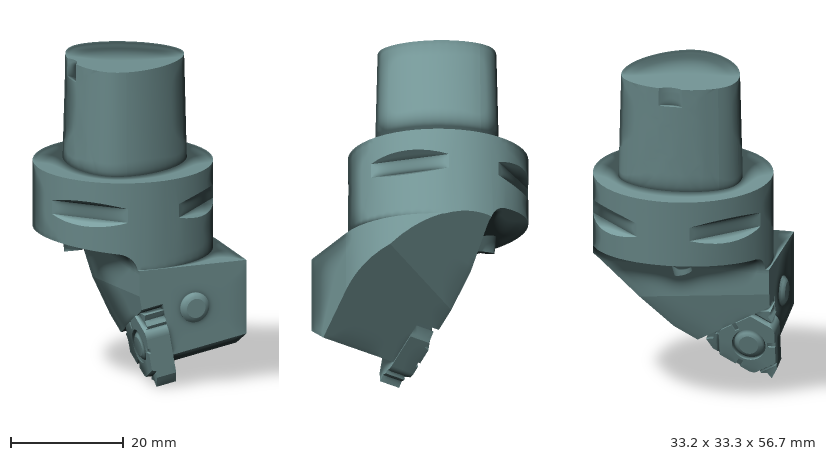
import cadquery as cq
import math

SHANK_LENGTH = 19.0
SHANK_DIAMETER = 22.0
LOBE_HEIGHT = 0.7
DIAMETER_TAPER = 1 / 20
LOBE_HALF_ANGLE = 22.5
LOBE_ANGLES = (90, 210, 330)
LOBE_PERIOD = 360 / len(LOBE_ANGLES)
POINTS_PER_EDGE = 9
KEY_NOTCH_RADIUS = 3.25
KEY_NOTCH_REACH = -8.9
KEY_NOTCH_DEPTH = 3.25

FLANGE_RADIUS = 16.0
FLANGE_HEIGHT = 16.0
NOTCH_FLAT_DISTANCE = 14.2
NOTCH_CENTRE_Z = -6.0
NOTCH_FLAT_HEIGHT = 2.5
NOTCH_SIDE_ANGLE = 30
NOTCH_ANGLES = (45, 135, 225, 315)

HEAD_BACK_Y = 17.3
HEAD_RADIUS = HEAD_BACK_Y
HEAD_CENTRE_X = HEAD_RADIUS - FLANGE_RADIUS
FRONT_WALL_Y = -3.06
CEILING_EDGE_Z = -11.98
CEILING_ANGLE = 6.4
CEILING_FILLET = 3.7
LEFT_CUT_Z = -15.1
LEFT_CUT_ANGLE = 42.1
BEYOND = 45.0

INSERT_CENTRE = (12.3, -1.32, -30.93)
SEAT_TILT = 10
SEAT_YAW = 1
SEAT = cq.Plane.named("XZ", origin=INSERT_CENTRE).rotated((SEAT_TILT, SEAT_YAW, 0))
SIDE_FACE_DISTANCE = 4.1
FLANK_DISTANCE = 4.54
SEAT_TIP_X = -0.9
HALF_CORNER = 30

INSERT_THICKNESS = 4.4
INSCRIBED_RADIUS = 9.525 / 2
INSERT_RISE = 0.3
INSERT_FACE = cq.Plane(SEAT.toWorldCoords((0, 0, INSERT_RISE)), SEAT.xDir, SEAT.zDir)
POCKET_DEPTH = INSERT_THICKNESS - INSERT_RISE
CORNER_DISTANCE = 5.45
CORNER_ROUND = 2.0
TOOTH_POINTS = [
    (INSCRIBED_RADIUS, -3.0),
    (INSCRIBED_RADIUS, -4.95),
    (3.75, -6.91),
    (3.0, -5.9),
    (1.86, -5.99),
    (1.2, -5.0),
]
TURNS = (0, 120, 240)
GROOVE_EDGE = 5.3
GROOVE_BOTTOM = 5.65
GROOVE_BOTTOM_DEPTH = 0.85
TOOTH_EDGE = 5.95
TOOTH_RECESS = 0.65
MARK_LENGTH = 1.3
MARK_WIDTH = 0.9
MARK_OFFSET = 0.25
MARK_DEPTH = 0.4

BORE_DIAMETER = 4.4
COUNTERBORE_DIAMETER = 6.1
COUNTERBORE_DEPTH = 1.0
SCREW_HEAD_DIAMETER = 5.45
SIDE_SCREW_RISE = 0.95
SCREW_TOP_DIAMETER = 3.5
SCREW_RIM_HEIGHT = 0.7
SCREW_RIM_BULGE = 0.1
INSERT_SCREW_RISE = 0.15
SHAFT_LENGTH = INSERT_THICKNESS - COUNTERBORE_DEPTH
SIDE_SCREW_HEIGHT = 5.65
SIDE_SCREW_DEPTH = 9.75
NOZZLE_DIAMETER = 3.3
NOZZLE_END = (2.48, -10.3, -15.1)
NOZZLE_ANGLE = 15.7
NOZZLE_LENGTH = 6.0


def trilobe_point(radius, angle, lobe_angle, z):
    """Point of the trilobe outline whose normal lies at `angle` from the lobe."""
    turn = math.radians(angle)
    support = radius + LOBE_HEIGHT * math.cos(3 * turn)
    shift = -3 * LOBE_HEIGHT * math.sin(3 * turn)
    direction = math.radians(angle + lobe_angle)
    x = support * math.cos(direction) - shift * math.sin(direction)
    y = support * math.sin(direction) + shift * math.cos(direction)
    return cq.Vector(x, y, z)


def trilobe_edge(radius, first, last, lobe_angle, z):
    step = (last - first) / (POINTS_PER_EDGE - 1)
    angles = [first + i * step for i in range(POINTS_PER_EDGE)]
    return cq.Edge.makeSpline([trilobe_point(radius, angle, lobe_angle, z) for angle in angles])


def trilobe_wire(radius, z):
    edges = []
    for lobe_angle in LOBE_ANGLES:
        edges.append(trilobe_edge(radius, -LOBE_HALF_ANGLE, LOBE_HALF_ANGLE, lobe_angle, z))
        flank_end = LOBE_PERIOD - LOBE_HALF_ANGLE
        edges.append(trilobe_edge(radius, LOBE_HALF_ANGLE, flank_end, lobe_angle, z))
    return cq.Wire.assembleEdges(edges)


def make_shank():
    base_radius = SHANK_DIAMETER / 2
    top_radius = base_radius - SHANK_LENGTH * DIAMETER_TAPER / 2
    wires = [trilobe_wire(base_radius, 0), trilobe_wire(top_radius, SHANK_LENGTH)]
    shank = cq.Workplane(cq.Solid.makeLoft(wires, True))
    notch = (
        cq.Workplane(origin=(0, KEY_NOTCH_REACH - KEY_NOTCH_RADIUS, SHANK_LENGTH))
        .circle(KEY_NOTCH_RADIUS)
        .extrude(-KEY_NOTCH_DEPTH)
    )
    return shank.cut(notch)


def make_flange():
    flange = cq.Workplane().circle(FLANGE_RADIUS).extrude(-FLANGE_HEIGHT)
    depth = FLANGE_RADIUS - NOTCH_FLAT_DISTANCE
    floor_half = NOTCH_FLAT_HEIGHT / 2
    mouth_half = floor_half + depth * math.tan(math.radians(NOTCH_SIDE_ANGLE))
    notch = (
        cq.Workplane("XZ")
        .moveTo(NOTCH_FLAT_DISTANCE, NOTCH_CENTRE_Z - floor_half)
        .lineTo(FLANGE_RADIUS, NOTCH_CENTRE_Z - mouth_half)
        .lineTo(FLANGE_RADIUS, NOTCH_CENTRE_Z + mouth_half)
        .lineTo(NOTCH_FLAT_DISTANCE, NOTCH_CENTRE_Z + floor_half)
        .close()
        .extrude(FLANGE_RADIUS, both=True)
    )
    for angle in NOTCH_ANGLES:
        flange = flange.cut(notch.rotate((0, 0, 0), (0, 0, 1), angle))
    return flange


def flank_y(x):
    """Local height of the lower left flank of the head, which is parallel to an insert side."""
    return -(FLANK_DISTANCE + x / 2) / math.cos(math.radians(HALF_CORNER))


def make_head():
    column = (
        cq.Workplane(origin=(0, 0, -FLANGE_HEIGHT))
        .moveTo(HEAD_CENTRE_X, HEAD_BACK_Y)
        .threePointArc((-FLANGE_RADIUS, 0), (HEAD_CENTRE_X, -HEAD_RADIUS))
        .lineTo(BEYOND, -HEAD_RADIUS)
        .lineTo(BEYOND, HEAD_BACK_Y)
        .close()
        .extrude(-BEYOND)
    )
    tip_y = flank_y(SEAT_TIP_X)
    side_y = tip_y + (SIDE_FACE_DISTANCE - SEAT_TIP_X) * math.tan(math.radians(HALF_CORNER))
    profile = (
        cq.Workplane(SEAT)
        .moveTo(SIDE_FACE_DISTANCE, BEYOND)
        .lineTo(-BEYOND, BEYOND)
        .lineTo(-BEYOND, flank_y(-BEYOND))
        .lineTo(SEAT_TIP_X, tip_y)
        .lineTo(SIDE_FACE_DISTANCE, side_y)
        .close()
        .extrude(-BEYOND)
    )
    return column.intersect(profile)


def make_clearance():
    """Space in front of the head: upright wall, rounded corner and sloping ceiling."""
    slope = math.tan(math.radians(CEILING_ANGLE))
    corner_z = CEILING_EDGE_Z - (FLANGE_RADIUS + FRONT_WALL_Y) * slope
    outer_z = corner_z + (BEYOND + FRONT_WALL_Y) * slope
    return (
        cq.Workplane("YZ")
        .moveTo(FRONT_WALL_Y, corner_z)
        .lineTo(FRONT_WALL_Y, -BEYOND)
        .lineTo(-BEYOND, -BEYOND)
        .lineTo(-BEYOND, outer_z)
        .close()
        .extrude(BEYOND, both=True)
        .edges(cq.selectors.NearestToPointSelector((0, FRONT_WALL_Y, corner_z)))
        .fillet(CEILING_FILLET)
    )


def make_left_cut():
    drop = BEYOND * math.tan(math.radians(LEFT_CUT_ANGLE))
    return (
        cq.Workplane("XZ")
        .moveTo(-FLANGE_RADIUS, LEFT_CUT_Z)
        .lineTo(BEYOND - FLANGE_RADIUS, LEFT_CUT_Z - drop)
        .lineTo(-BEYOND, LEFT_CUT_Z - drop)
        .lineTo(-BEYOND, LEFT_CUT_Z)
        .close()
        .extrude(BEYOND, both=True)
    )


def make_pocket():
    """Seat recess: open everywhere below the wall that carries the insert's upper left side."""
    wall = SEAT.rotated((0, 0, HALF_CORNER))
    space = cq.Workplane(wall).workplane(offset=-POCKET_DEPTH).center(0, INSCRIBED_RADIUS - BEYOND / 2)
    return space.rect(BEYOND, BEYOND).extrude(BEYOND)


def make_nozzle():
    axis = cq.Plane.named("XY", origin=NOZZLE_END).rotated((0, -NOZZLE_ANGLE, 0))
    return cq.Workplane(axis).circle(NOZZLE_DIAMETER / 2).extrude(NOZZLE_LENGTH)


def make_screw_head(plane, height):
    """Round head standing on `plane`, with a bulging rim that narrows to a flat top."""
    radius = SCREW_HEAD_DIAMETER / 2
    top_radius = SCREW_TOP_DIAMETER / 2
    rim_z = height - SCREW_RIM_HEIGHT
    section = cq.Plane(plane.origin, plane.xDir, -plane.yDir)
    return (
        cq.Workplane(section)
        .lineTo(radius, 0)
        .lineTo(radius, rim_z)
        .sagittaArc((top_radius, height), -SCREW_RIM_BULGE)
        .lineTo(0, height)
        .close()
        .revolve(360, (0, 0), (0, 1))
    )


def make_insert_screw():
    """Shaft from the pocket floor through the insert bore, with its head in the counterbore."""
    shaft = cq.Workplane(INSERT_FACE).workplane(offset=-INSERT_THICKNESS)
    shaft = shaft.circle(BORE_DIAMETER / 2).extrude(SHAFT_LENGTH)
    head_base = cq.Workplane(INSERT_FACE).workplane(offset=-COUNTERBORE_DEPTH).plane
    return shaft.union(make_screw_head(head_base, COUNTERBORE_DEPTH + INSERT_SCREW_RISE))


def make_side_screw():
    centre = SEAT.toWorldCoords((SIDE_FACE_DISTANCE, SIDE_SCREW_HEIGHT, -SIDE_SCREW_DEPTH))
    return make_screw_head(cq.Plane(centre, SEAT.yDir, SEAT.xDir), SIDE_SCREW_RISE)


def make_holder():
    holder = make_flange().union(make_head())
    holder = holder.cut(make_clearance()).cut(make_left_cut()).cut(make_pocket())
    holder = holder.union(make_shank()).union(make_nozzle())
    return holder.union(make_insert_screw()).union(make_side_screw())


def make_triangle(distance, turn):
    """Triangular prism behind the insert face, its sides at `distance` from the centre."""
    plane = INSERT_FACE.rotated((0, 0, turn))
    return cq.Workplane(plane).polygon(3, 4 * distance).extrude(-INSERT_THICKNESS)


def make_insert_blank():
    """Triangle with cut corners; the end of each cut away from the cutting side is rounded."""
    blank = make_triangle(INSCRIBED_RADIUS, 180).intersect(make_triangle(CORNER_DISTANCE, 0))
    corner_y = -(INSCRIBED_RADIUS + CORNER_DISTANCE) / (2 * math.sin(math.radians(2 * HALF_CORNER)))
    corner_x = CORNER_DISTANCE - INSCRIBED_RADIUS
    for turn in TURNS:
        plane = INSERT_FACE.rotated((0, 0, turn))
        corner = plane.toWorldCoords((corner_x, corner_y, -INSERT_THICKNESS / 2))
        blank = blank.edges(cq.selectors.NearestToPointSelector(corner.toTuple())).fillet(CORNER_ROUND)
    return blank


def make_tooth(plane):
    return cq.Workplane(plane).polyline(TOOTH_POINTS).close().extrude(-INSERT_THICKNESS)


def make_chip_groove(plane):
    across = plane.rotated((0, 0, -2 * HALF_CORNER)).rotated((90, 0, 0))
    return (
        cq.Workplane(across)
        .moveTo(GROOVE_EDGE, 0)
        .lineTo(GROOVE_BOTTOM, -GROOVE_BOTTOM_DEPTH)
        .lineTo(TOOTH_EDGE, -TOOTH_RECESS)
        .lineTo(BEYOND, -TOOTH_RECESS)
        .lineTo(BEYOND, 0)
        .close()
        .extrude(BEYOND, both=True)
    )


def make_mark(plane):
    mark = cq.Workplane(plane).center(INSCRIBED_RADIUS, MARK_OFFSET)
    return mark.rect(2 * MARK_LENGTH, MARK_WIDTH).extrude(-MARK_DEPTH)


def make_insert():
    insert = make_insert_blank()
    for turn in TURNS:
        plane = INSERT_FACE.rotated((0, 0, turn))
        insert = insert.union(make_tooth(plane))
        insert = insert.cut(make_chip_groove(plane)).cut(make_mark(plane))
    face = cq.Workplane(INSERT_FACE)
    bore = face.circle(BORE_DIAMETER / 2).extrude(-INSERT_THICKNESS)
    counterbore = face.circle(COUNTERBORE_DIAMETER / 2).extrude(-COUNTERBORE_DEPTH)
    return insert.cut(bore).cut(counterbore)


holder = make_holder()
insert = make_insert()
result = cq.Compound.makeCompound([*holder.solids().vals(), *insert.solids().vals()])